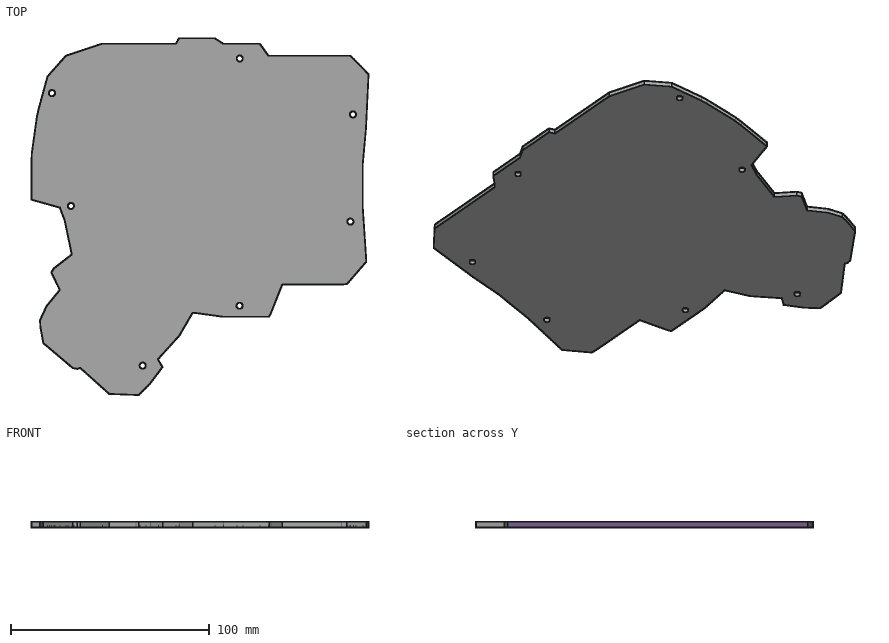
import cadquery as cq

plate_length = 169.62
plate_width = 179.4
plate_thickness = 3.0
hole_diameter = 3.0

top_edge = 176.7
shoulder_edge = 170.65
right_waist = 166.7
right_bottom_edge = 55.5
middle_bottom_edge = 39.3

left_side = [
    (0, 98.2),
    (0, 117.3),
    (0.2, 121.6),
    (2.75, 139.9),
    (3.5, 143.4),
    (8.1, 160.2),
    (17.4, shoulder_edge),
]

top_side = [
    (35.6, top_edge),
    (72.7, top_edge),
    (74.2, plate_width),
    (92.3, plate_width),
    (96.5, top_edge),
    (114.9, top_edge),
    (119.2, shoulder_edge),
    (160.4, shoulder_edge),
]

right_side = [
    (plate_length, 161.3),
    (168.3, 133.9),
    (right_waist, 116.1),
    (right_waist, 94.3),
    (168.5, 67.1),
]

bottom_side = [
    (158.7, 55.75),
    (155.8, right_bottom_edge),
    (126.2, right_bottom_edge),
    (120.4, 40.9),
    (119.5, middle_bottom_edge),
    (96.5, middle_bottom_edge),
    (81.2, 41.4),
    (74.4, 29.8),
    (63.7, 18.0),
    (66.0, 14.1),
]

thumb_lobe = [
    (59.7, 5.7),
    (54.0, 0),
    (52.5, 0),
    (39.2, 0.5),
    (24.6, 13.6),
    (23.2, 13.1),
    (20.9, 13.5),
    (6.0, 26.1),
    (4.5, 34.3),
    (4.3, 37.6),
    (7.6, 44.7),
    (14.3, 52.9),
    (10.0, 61.6),
    (11.4, 63.8),
    (20.3, 70.7),
    (16.7, 87.9),
    (14.3, 94.2),
]

hole_centers = [
    (104.8, 169.2),
    (10.4, 151.8),
    (161.7, 141.1),
    (19.9, 95.1),
    (160.4, 87.2),
    (104.7, 44.9),
    (56.0, 14.8),
]


def make_plate():
    """Extrude the closed outline, walked clockwise from the left side."""
    outline = left_side + top_side + right_side + bottom_side + thumb_lobe
    return cq.Workplane("XY").polyline(outline).close().extrude(plate_thickness)


def drill_mounting_holes(plate):
    """Cut the plain mounting holes right through the plate."""
    holes = (
        cq.Workplane("XY")
        .pushPoints(hole_centers)
        .circle(hole_diameter / 2)
        .extrude(plate_thickness)
    )
    return plate.cut(holes)


result = drill_mounting_holes(make_plate())